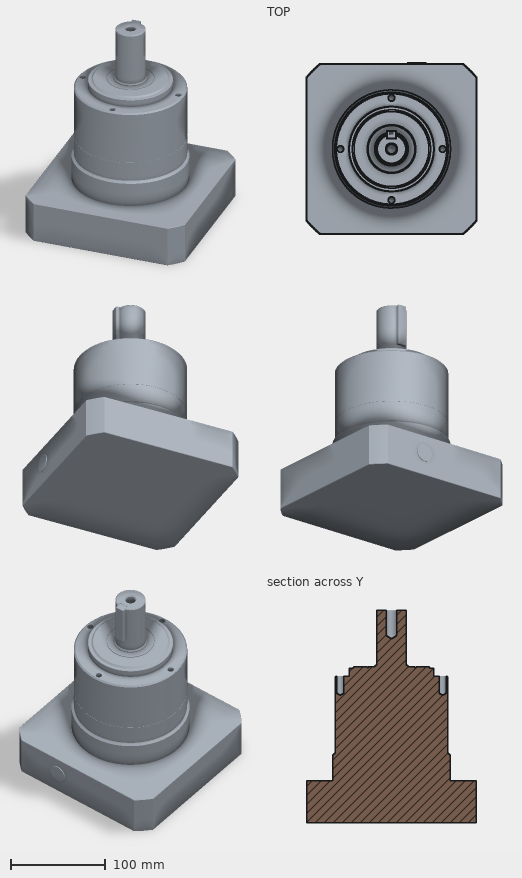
import cadquery as cq
import math

plate_width = 180.0
plate_height = 45.0
plate_turned_diameter = 235.1
plate_edge_chamfer = 0.5

plug_diameter = 19.1
plug_projection = 1.0
plug_x = 26.8
plug_z = 25.2

collar_diameter = 124.9
collar_top = 74.2
body_diameter = 120.0
body_top = 155.2
body_chamfer = 1.5
seam_z = 96.0
seam_width = 0.5
seam_depth = 0.2

spigot_diameter = 90.0
spigot_top = 163.5
spigot_chamfer = 0.5
cover_base_diameter = 82.8
cover_top_diameter = 79.2
cover_top = 165.2
cover_groove_outer_diameter = 51.3
cover_groove_width = 1.0
cover_groove_depth = 0.7

shaft_diameter = 32.0
shaft_top = 225.0
shaft_chamfer = 1.0
lip_diameter = 35.5
lip_top = 167.0
lip_chamfer = 1.0

centre_hole_diameter = 10.4
centre_hole_depth = 27.0
centre_countersink_diameter = 12.4

key_width = 10.0
key_seat_y = 11.0
key_top_y = 19.1
key_length = 45.0
key_chamfer = 0.5

mount_hole_count = 4
mount_hole_diameter = 6.8
mount_hole_depth = 18.0
mount_circle_diameter = 108.0

drill_point_angle = 118.0


def cylinder(diameter, bottom, top):
    """Solid cylinder on the Z axis between two heights."""
    return cq.Workplane("XY").workplane(offset=bottom).circle(diameter / 2).extrude(top - bottom)


def cone(bottom_diameter, top_diameter, bottom, top):
    """Solid truncated cone on the Z axis between two heights."""
    solid = cq.Solid.makeCone(
        bottom_diameter / 2, top_diameter / 2, top - bottom, pnt=cq.Vector(0, 0, bottom)
    )
    return cq.Workplane(obj=solid)


def ring(outer_diameter, inner_diameter, bottom, top):
    return cylinder(outer_diameter, bottom, top).cut(cylinder(inner_diameter, bottom, top))


def drilled_hole(diameter, depth, top):
    """Cutter for a blind hole on the Z axis with a conical drill point."""
    point_height = diameter / 2 / math.tan(math.radians(drill_point_angle / 2))
    bottom = top - depth
    return cylinder(diameter, bottom, top).union(cone(0, diameter, bottom - point_height, bottom))


def make_plate():
    square = cq.Workplane("XY").rect(plate_width, plate_width).extrude(plate_height)
    plate = square.intersect(cylinder(plate_turned_diameter, 0, plate_height))
    return plate.faces("<Z or >Z").edges().chamfer(plate_edge_chamfer)


def make_plug():
    side = plate_width / 2
    embedded = 2.2
    plane = cq.Plane(origin=(plug_x, side - embedded, plug_z), xDir=(1, 0, 0), normal=(0, 1, 0))
    return cq.Workplane(plane).circle(plug_diameter / 2).extrude(embedded + plug_projection)


def make_housing():
    collar_chamfer = (collar_diameter - body_diameter) / 2
    collar = cylinder(collar_diameter, plate_height, collar_top).faces(">Z").chamfer(collar_chamfer)
    body = cylinder(body_diameter, plate_height, body_top).faces(">Z").chamfer(body_chamfer)
    seam = ring(
        body_diameter, body_diameter - 2 * seam_depth, seam_z - seam_width / 2, seam_z + seam_width / 2
    )
    return collar.union(body.cut(seam))


def make_spigot():
    spigot = cylinder(spigot_diameter, body_top, spigot_top).faces(">Z").chamfer(spigot_chamfer)
    cover = cone(cover_base_diameter, cover_top_diameter, spigot_top, cover_top)
    groove_inner_diameter = cover_groove_outer_diameter - 2 * cover_groove_width
    groove = ring(
        cover_groove_outer_diameter, groove_inner_diameter, cover_top - cover_groove_depth, cover_top
    )
    return spigot.union(cover).cut(groove)


def make_shaft():
    lip = cylinder(lip_diameter, cover_top, lip_top).faces(">Z").chamfer(lip_chamfer)
    shaft = cylinder(shaft_diameter, cover_top, shaft_top).faces(">Z").chamfer(shaft_chamfer)
    countersink_depth = (centre_countersink_diameter - centre_hole_diameter) / 2
    countersink = cone(
        centre_hole_diameter, centre_countersink_diameter, shaft_top - countersink_depth, shaft_top
    )
    hole = drilled_hole(centre_hole_diameter, centre_hole_depth, shaft_top)
    return shaft.union(lip).cut(hole).cut(countersink)


def make_key_block():
    """Sharp-edged block filling the keyway and standing out of the shaft."""
    height = key_top_y - key_seat_y
    block = cq.Workplane("XY").box(key_width, height, key_length, centered=(True, False, False))
    return block.translate((0, key_seat_y, shaft_top - key_length))


def make_mount_holes():
    hole = drilled_hole(mount_hole_diameter, mount_hole_depth, body_top)
    hole = hole.translate((mount_circle_diameter / 2, 0, 0))
    holes = cq.Workplane("XY")
    for index in range(mount_hole_count):
        angle = index * 360 / mount_hole_count
        holes = holes.add(hole.rotate((0, 0, 0), (0, 0, 1), angle))
    return holes.combine()


housing = make_housing().cut(make_mount_holes())
result = make_plate().union(make_plug()).union(housing).union(make_spigot())
key_block = make_key_block()
key = key_block.edges().chamfer(key_chamfer)
result = result.union(make_shaft().cut(key_block)).union(key)